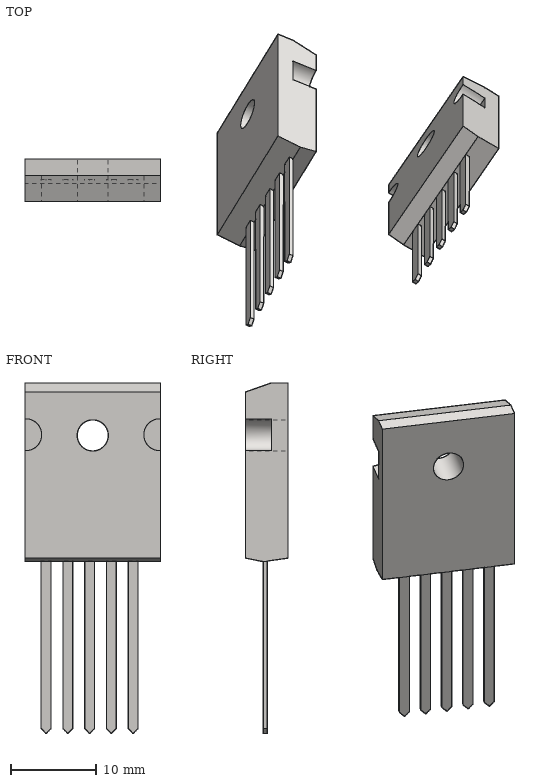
import cadquery as cq

width = 15.9
depth = 5.0
height = 41.1
top = height / 2
front = -depth / 2
back = depth / 2

body_wall_height = 20.55
body_ridge_height = 20.95
bevel_depth = 3.05
bevel_drop = 1.05

hole_diameter = 3.6
hole_drop = 6.15
notch_diameter = 3.75
notch_drop = 6.1
notch_reach = 1.97
notch_depth = 3.05

lead_count = 5
lead_pitch = 2.55
lead_row_offset = -0.35
lead_width = 1.2
lead_thickness = 0.5
lead_tip = 0.6
lead_y = -0.15
lead_front = lead_y - lead_thickness / 2
lead_embed = 0.82


def make_body():
    profile = [
        (back, top),
        (front + bevel_depth, top),
        (front, top - bevel_drop),
        (front, top - body_wall_height),
        (lead_front, top - body_ridge_height),
        (back, top - body_wall_height),
    ]
    return cq.Workplane("YZ").polyline(profile).close().extrude(width / 2, both=True)


def make_mounting_hole():
    return (
        cq.Workplane("XZ")
        .center(0, top - hole_drop)
        .circle(hole_diameter / 2)
        .extrude(depth, both=True)
    )


def make_notch(side):
    """Round-ended pocket open to the front and to one side (-1 left, +1 right)."""
    radius = notch_diameter / 2
    edge_x = side * width / 2
    arc_x = edge_x - side * (notch_reach - radius)
    tip_x = edge_x - side * notch_reach
    middle_z = top - notch_drop
    return (
        cq.Workplane("XZ", origin=(0, front, 0))
        .moveTo(edge_x, middle_z + radius)
        .lineTo(arc_x, middle_z + radius)
        .threePointArc((tip_x, middle_z), (arc_x, middle_z - radius))
        .lineTo(edge_x, middle_z - radius)
        .close()
        .extrude(-notch_depth)
    )


def make_lead(x):
    """Flat lead with a pointed lower end, centred on x."""
    root_z = top - body_ridge_height + lead_embed
    tip_z = -height / 2
    outline = [
        (x - lead_width / 2, root_z),
        (x + lead_width / 2, root_z),
        (x + lead_width / 2, tip_z + lead_tip),
        (x, tip_z),
        (x - lead_width / 2, tip_z + lead_tip),
    ]
    return (
        cq.Workplane("XZ", origin=(0, lead_y, 0))
        .polyline(outline)
        .close()
        .extrude(lead_thickness / 2, both=True)
    )


result = make_body().cut(make_mounting_hole())

for side in (-1, 1):
    result = result.cut(make_notch(side))

for index in range(lead_count):
    lead_x = lead_row_offset + (index - (lead_count - 1) / 2) * lead_pitch
    result = result.union(make_lead(lead_x))